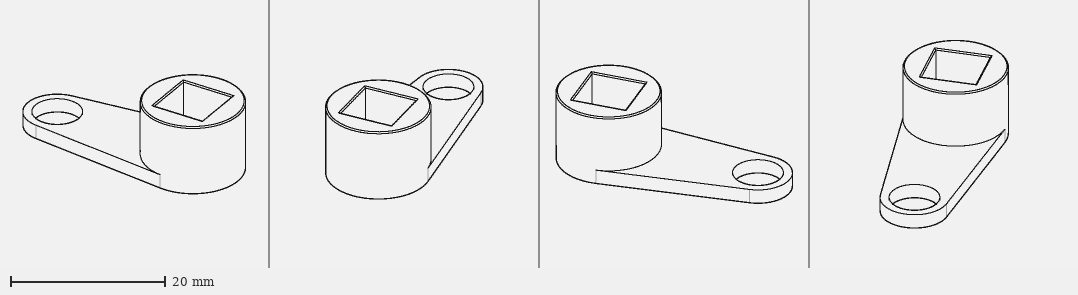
import cadquery as cq
import math

overall_length = 31.98
hub_diameter = 13.7
hub_height = 10.0
plate_thickness = 2.0
eye_radius = 4.48
eye_hole_diameter = 6.6
socket_side = 7.32
hub_chamfer = 0.2
socket_chamfer = 0.2

hub_radius = hub_diameter / 2
center_distance = overall_length - hub_radius - eye_radius
eye_x = -center_distance
taper_angle = math.asin((hub_radius - eye_radius) / center_distance)


def tangent_point(center_x, radius, side):
    """Point where a straight flank touches an end circle; side is +1 or -1 in Y."""
    return (
        center_x - radius * math.sin(taper_angle),
        side * radius * math.cos(taper_angle),
    )


plate = (
    cq.Workplane("XY")
    .moveTo(*tangent_point(0, hub_radius, -1))
    .threePointArc((hub_radius, 0), tangent_point(0, hub_radius, 1))
    .lineTo(*tangent_point(eye_x, eye_radius, 1))
    .threePointArc((eye_x - eye_radius, 0), tangent_point(eye_x, eye_radius, -1))
    .close()
    .extrude(plate_thickness)
)

hub = cq.Workplane("XY").circle(hub_radius).extrude(hub_height).faces(">Z").edges().chamfer(hub_chamfer)

eye_hole = cq.Workplane("XY").center(eye_x, 0).circle(eye_hole_diameter / 2).extrude(plate_thickness)

socket = cq.Workplane("XY").rect(socket_side, socket_side).extrude(hub_height)
mouth_side = socket_side + 2 * socket_chamfer
socket_mouth = (
    cq.Workplane("XY")
    .workplane(offset=hub_height - socket_chamfer)
    .rect(socket_side, socket_side)
    .workplane(offset=socket_chamfer)
    .rect(mouth_side, mouth_side)
    .loft(ruled=True)
)

result = plate.union(hub).cut(eye_hole).cut(socket).cut(socket_mouth)